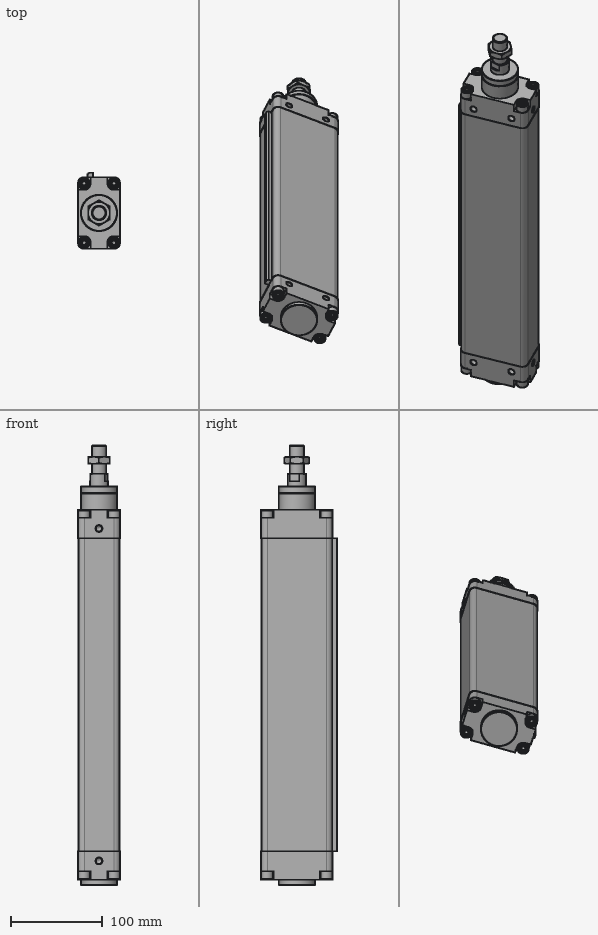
import cadquery as cq
import math

total_height = 480.5
body_width = 46.0
body_depth = 78.5
corner_radius = 6.5
rear_boss_height = 6.0
cap_height = 31.0
front_cap_top = 410.5
front_cap_bottom = front_cap_top - cap_height
rear_cap_top = rear_boss_height + cap_height
barrel_inset = 0.5

collar_diameter = 40.0
collar_top = 436.0
band_height = 7.5
edge_chamfer = 0.5

recess_diameter = 14.5
recess_depth = 9.0
screw_head_diameter = 12.5
head_chamfer = 1.2
socket_mouth_diameter = 6.5
socket_diameter = 5.0
socket_depth = 4.0
screw_x = body_width / 2 - corner_radius
screw_y = body_depth / 2 - corner_radius

port_mouth_diameter = 7.5
port_bore_diameter = 6.5
port_depth = 7.0
floor_cone_angle = 30.0
port_offset = 20.5
side_port_y = 22.0

rail_x = -9.5
rail_width = 6.2
rail_height = 5.0
rail_chamfer = 2.0

rod_diameter = 20.0
thread_diameter = 16.0
thread_length = 31.0
thread_bottom = total_height - thread_length
thread_chamfer = 1.0
flats_across = 17.0
flats_height = 7.5
flats_angle = -17.0

nut_across_flats = 24.0
nut_thickness = 7.5
nut_bottom = 460.5
nut_chamfer_angle = 30.0


def block(width, depth, radius, bottom, top):
    """Upright rectangular block with rounded vertical corners."""
    return (
        cq.Workplane("XY", origin=(0, 0, bottom))
        .rect(width, depth)
        .extrude(top - bottom)
        .edges("|Z")
        .fillet(radius)
    )


def cylinder(diameter, bottom, top, x=0, y=0):
    return cq.Workplane("XY", origin=(x, y, bottom)).circle(diameter / 2).extrude(top - bottom)


def countersunk_bore(mouth_diameter, bore_diameter, depth):
    """Cutting tool for a countersunk bore with a conical floor, running from the origin along +X."""
    mouth = mouth_diameter / 2
    bore = bore_diameter / 2
    tip = depth + bore * math.tan(math.radians(floor_cone_angle))
    return (
        cq.Workplane("XY")
        .lineTo(0, mouth)
        .lineTo(mouth - bore, bore)
        .lineTo(depth, bore)
        .lineTo(tip, 0)
        .close()
        .revolve(360, (0, 0, 0), (1, 0, 0))
    )


def make_ports(z):
    """One port in the front side and two in the left side, at height z."""
    tool = countersunk_bore(port_mouth_diameter, port_bore_diameter, port_depth)
    front = tool.rotate((0, 0, 0), (0, 0, 1), 90).translate((0, -body_depth / 2, z))
    left = [tool.translate((-body_width / 2, y, z)) for y in (-side_port_y, side_port_y)]
    return [front, *left]


def add_screw(housing, x, y, outer_face, inward):
    """Corner recess, open to both sides, holding a socket screw head flush with outer_face."""
    low, high = sorted((outer_face, outer_face + inward * recess_depth))
    inner_x = "<X" if x > 0 else ">X"
    inner_y = "<Y" if y > 0 else ">Y"
    recess = (
        cq.Workplane("XY", origin=(x, y, low))
        .rect(recess_diameter, recess_diameter)
        .extrude(high - low)
        .edges(f"|Z and {inner_x} and {inner_y}")
        .fillet(recess_diameter / 2)
    )
    rim = ">Z" if inward < 0 else "<Z"
    head = cylinder(screw_head_diameter, low, high, x, y).faces(rim).chamfer(head_chamfer)
    socket = (
        countersunk_bore(socket_mouth_diameter, socket_diameter, socket_depth)
        .rotate((0, 0, 0), (0, 1, 0), -90 * inward)
        .translate((x, y, outer_face))
    )
    return housing.cut(recess).union(head.cut(socket))


def make_housing():
    rear_cap = block(body_width, body_depth, corner_radius, rear_boss_height, rear_cap_top)
    front_cap = block(body_width, body_depth, corner_radius, front_cap_bottom, front_cap_top)
    barrel = block(
        body_width - 2 * barrel_inset,
        body_depth - 2 * barrel_inset,
        corner_radius - barrel_inset,
        rear_cap_top,
        front_cap_bottom,
    )
    band_bottom = collar_top - band_height
    collar = cylinder(collar_diameter, front_cap_top, band_bottom).faces(">Z").chamfer(edge_chamfer)
    band = cylinder(collar_diameter, band_bottom, collar_top).edges().chamfer(edge_chamfer)
    boss = cylinder(collar_diameter, 0, rear_boss_height).faces("<Z").chamfer(edge_chamfer)
    rail_root = body_depth / 2 - 2 * barrel_inset
    rail_top = body_depth / 2 + rail_height
    rail = (
        cq.Workplane("XY", origin=(rail_x, (rail_root + rail_top) / 2, rear_cap_top))
        .rect(rail_width, rail_top - rail_root)
        .extrude(front_cap_bottom - rear_cap_top)
        .edges("|Z and >Y and <X")
        .chamfer(rail_chamfer)
    )
    housing = rear_cap.union(barrel).union(front_cap).union(collar).union(band).union(boss).union(rail)
    for x in (-screw_x, screw_x):
        for y in (-screw_y, screw_y):
            housing = add_screw(housing, x, y, front_cap_top, -1)
            housing = add_screw(housing, x, y, rear_boss_height, 1)
    for z in (rear_boss_height + port_offset, front_cap_top - port_offset):
        for port in make_ports(z):
            housing = housing.cut(port)
    return housing


def make_piston_rod():
    rod = cylinder(rod_diameter, collar_top, thread_bottom)
    flats_bottom = thread_bottom - flats_height
    kept = (
        cq.Workplane("XY", origin=(0, 0, flats_bottom))
        .rect(flats_across, 2 * rod_diameter)
        .extrude(flats_height)
        .rotate((0, 0, 0), (0, 0, 1), flats_angle)
    )
    rod = rod.cut(cylinder(2 * rod_diameter, flats_bottom, thread_bottom).cut(kept))
    thread = cylinder(thread_diameter, thread_bottom, total_height).faces(">Z").chamfer(thread_chamfer)
    return rod.union(thread)


def make_nut():
    """Hexagon nut with flats facing +X and -X and both rims turned to a cone."""
    across_corners = nut_across_flats / math.cos(math.radians(30))
    blank = (
        cq.Workplane("XY", origin=(0, 0, nut_bottom))
        .polygon(6, across_corners)
        .extrude(nut_thickness)
        .rotate((0, 0, 0), (0, 0, 1), 90)
    )
    rim = (across_corners - nut_across_flats) / 2
    drop = rim * math.tan(math.radians(nut_chamfer_angle))
    envelope = cylinder(across_corners, nut_bottom, nut_bottom + nut_thickness).edges().chamfer(drop, rim)
    bore = cylinder(thread_diameter, nut_bottom, nut_bottom + nut_thickness)
    return blank.intersect(envelope).cut(bore)


housing = make_housing()
piston_rod = make_piston_rod()
nut = make_nut()

result = cq.Compound.makeCompound([housing.val(), piston_rod.val(), nut.val()])